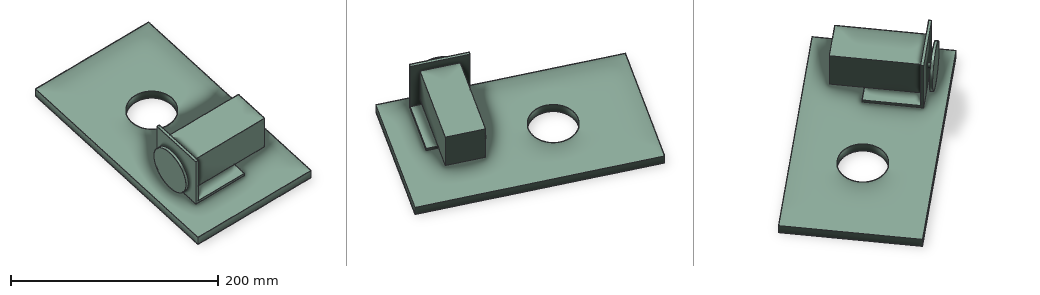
import cadquery as cq

plate_length = 250.0
plate_width = 140.0
plate_thickness = 10.0
plate_hole_diameter = 50.0
plate_hole_x = -33.0

bracket_size = 60.0
bracket_thickness = 3.0
bracket_x = 67.0
bracket_front_y = -50.0
total_height = 80.0

motor_side = 40.2
motor_length = 90.0
motor_rise = 0.5
shaft_drop = 1.8
shaft_diameter = 6.0
shaft_length = 5.0
disc_diameter = 49.2
disc_thickness = 3.0

bracket_bottom_z = total_height - bracket_size
flange_back_y = bracket_front_y + bracket_thickness
flange_middle_z = bracket_bottom_z + bracket_size / 2
motor_bottom_z = flange_middle_z + motor_rise - motor_side / 2
shaft_axis_z = flange_middle_z - shaft_drop
disc_back_y = bracket_front_y - shaft_length


def block(width, depth, height, front_y, bottom_z):
    """Box centred on the bracket in X, starting at front_y and bottom_z."""
    return (
        cq.Workplane("XY")
        .box(width, depth, height, centered=(True, False, False))
        .translate((bracket_x, front_y, bottom_z))
    )


def forward_cylinder(diameter, length, back_y):
    """Cylinder on the shaft axis, extending towards -Y from back_y."""
    return (
        cq.Workplane("XZ", origin=(bracket_x, back_y, shaft_axis_z))
        .circle(diameter / 2)
        .extrude(length)
    )


def make_base_plate():
    plate = cq.Workplane("XY").box(
        plate_length, plate_width, plate_thickness, centered=(True, True, False)
    )
    hole = (
        cq.Workplane("XY")
        .center(plate_hole_x, 0)
        .circle(plate_hole_diameter / 2)
        .extrude(plate_thickness)
    )
    return plate.cut(hole)


def make_motor_unit():
    flange = block(bracket_size, bracket_thickness, bracket_size, bracket_front_y, bracket_bottom_z)
    foot = block(bracket_size, bracket_size, bracket_thickness, bracket_front_y, bracket_bottom_z)
    motor = block(motor_side, motor_length, motor_side, flange_back_y, motor_bottom_z)
    shaft = forward_cylinder(shaft_diameter, shaft_length, bracket_front_y)
    disc = forward_cylinder(disc_diameter, disc_thickness, disc_back_y)
    return flange.union(foot).union(motor).union(shaft).union(disc)


base_plate = make_base_plate()
motor_unit = make_motor_unit()

result = cq.Compound.makeCompound([base_plate.val(), motor_unit.val()])